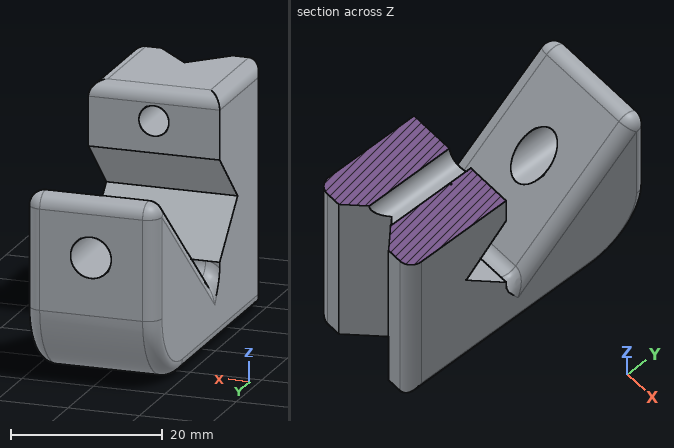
import cadquery as cq
import math

width = 18.4
length = 41.8
height = 34.0
half_width = width / 2

wall_thickness = 17.0

ramp_angle = 41.4
ramp_foot_z = 6.57
ramp_rise = (length - wall_thickness) * math.tan(math.radians(ramp_angle))
ramp_tip_z = ramp_foot_z + ramp_rise
heel_radius = 10.0

edge_radius = 2.0
valley_radius = 2.0

seat_bar_side = 10.0
seat_z = 18.0
front_bar_side = 7.0

wall_hole_diameter = 4.2
wall_hole_z = 29.5
arm_hole_diameter = 5.7
arm_hole_z = seat_z

pick_margin = 0.01


def cross_edge_at(y, z):
    """Selector for the edge along X that passes through the point (y, z)."""
    return cq.selectors.BoxSelector(
        (-half_width, y - pick_margin, z - pick_margin),
        (half_width, y + pick_margin, z + pick_margin),
    )


def wall_rear_edges(z_low, z_high):
    """Selector for edges on the plane of the wall's rear face, centred between two heights."""
    x_reach = half_width + pick_margin
    return cq.selectors.BoxSelector(
        (-x_reach, wall_thickness - pick_margin, z_low),
        (x_reach, wall_thickness + pick_margin, z_high),
    )


def centred_box(x_size, y_size, z_size, y_start=0.0, z_start=0.0):
    """Box centred on X that grows along +Y and +Z from its start."""
    box = cq.Workplane("XY").box(x_size, y_size, z_size, centered=(True, False, False))
    return box.translate((0, y_start, z_start))


def make_blank():
    """Side outline extruded across the width, with a round heel."""
    outline = [
        (0, 0),
        (length, 0),
        (length, ramp_tip_z),
        (wall_thickness, ramp_foot_z),
        (wall_thickness, height),
        (0, height),
    ]
    blank = cq.Workplane("YZ").polyline(outline).close().extrude(half_width, both=True)
    return blank.edges(cross_edge_at(length, 0)).fillet(heel_radius)


def round_outer_edges(blank):
    """Round both side outlines, the arm tip and the wall top; the wall's rear upright edges stay sharp."""
    sharp_edges = wall_rear_edges(ramp_foot_z + pick_margin, height - pick_margin)
    side_edges = blank.faces("<X or >X").edges(cq.selectors.InverseSelector(sharp_edges))
    tip_edge = blank.edges(cross_edge_at(length, ramp_tip_z))
    top_edge = blank.edges(cross_edge_at(wall_thickness, height))
    return side_edges.add(tip_edge).add(top_edge).fillet(edge_radius)


def make_valley_foot(body):
    """Foot of the arm with a valley fillet that runs out over its rounded sides.

    A backing plate wider than the arm lets the fillet continue past both sides,
    which are then trimmed flush.
    """
    plate_overhang = 4 * valley_radius
    foot_length = 4 * valley_radius
    plate = centred_box(width + 2 * plate_overhang, wall_thickness, height)
    arm = body.intersect(centred_box(width, length, height, y_start=wall_thickness))
    seam_edges = wall_rear_edges(edge_radius, ramp_foot_z + pick_margin)
    joined = plate.union(arm).edges(seam_edges).fillet(valley_radius)
    foot_region = centred_box(width, foot_length, height, wall_thickness, edge_radius)
    return joined.intersect(foot_region)


def cut_seat_groove(body):
    """V groove along X in the rear face of the wall."""
    bar = cq.Workplane("YZ").rect(seat_bar_side, seat_bar_side).extrude(half_width, both=True)
    bar = bar.rotate((0, 0, 0), (1, 0, 0), 45)
    return body.cut(bar.translate((0, wall_thickness, seat_z)))


def cut_front_groove(body):
    """V groove along Z over the full height of the front face."""
    bar = cq.Workplane("XY").rect(front_bar_side, front_bar_side).extrude(height)
    return body.cut(bar.rotate((0, 0, 0), (0, 0, 1), 45))


def cut_hole(body, diameter, z, y_start, depth):
    """Round hole on the centre plane that runs along +Y from y_start."""
    hole = cq.Workplane("XZ").center(0, z).circle(diameter / 2).extrude(-depth)
    return body.cut(hole.translate((0, y_start, 0)))


result = round_outer_edges(make_blank())
result = result.union(make_valley_foot(result))
result = cut_seat_groove(result)
result = cut_front_groove(result)
result = cut_hole(result, wall_hole_diameter, wall_hole_z, 0, wall_thickness)
result = cut_hole(result, arm_hole_diameter, arm_hole_z, wall_thickness, length - wall_thickness)